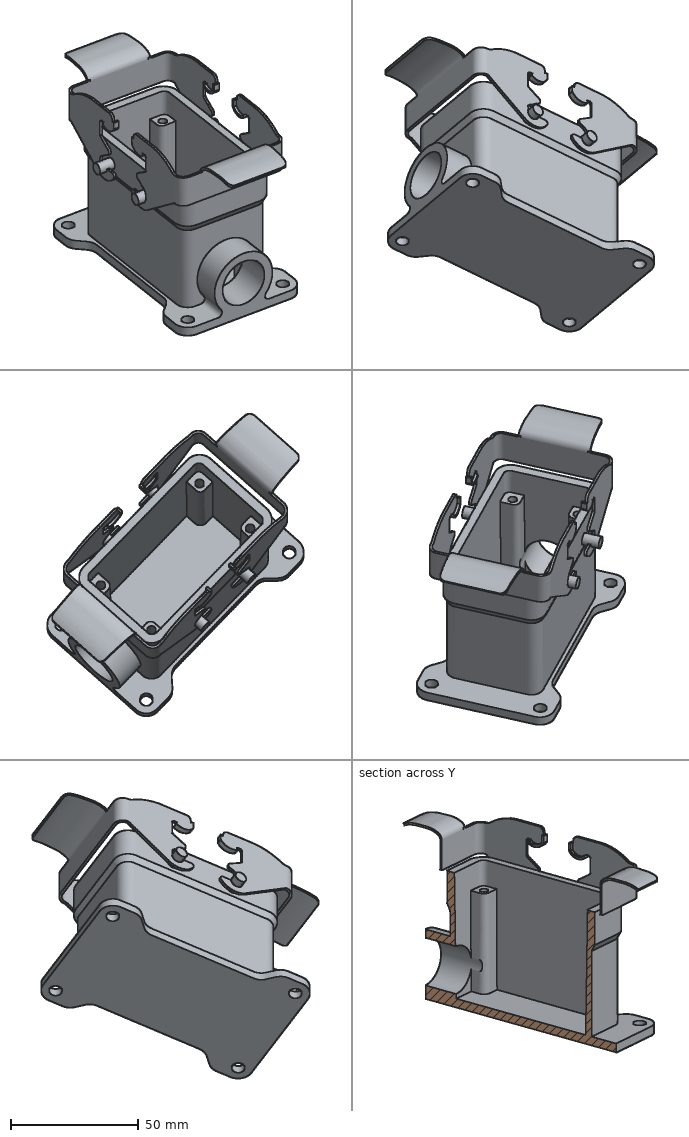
import cadquery as cq
import math

total_height = 74.5
draft = 1.0

plate_half_x = 47.1
plate_half_y = 57.0 / 2
plate_height = 4.0
plate_radius = 6.0
ear_straight_end = 34.8
ear_inner_x = 23.1
waist_half_y = 21.6
mount_hole_x = plate_half_x - 5.8
mount_hole_y = plate_half_y - 5.8
mount_hole_radius = 2.5

box_half_x = 35.0
box_half_y = 20.0
box_radius = 5.0
collar_step = 1.5
collar_half_x = box_half_x + collar_step
collar_half_y = box_half_y + collar_step
collar_radius = box_radius + collar_step
taper_bottom = 40.1
collar_bottom = 43.0
collar_top = 57.0

cavity_half_x = 32.7
cavity_half_y = 18.0
cavity_radius = 2.5
post_inner_x = 25.5
post_inner_y = 10.2
post_radius = 2.3
post_top = 46.2
post_hole_x = 28.5
post_hole_y = 13.6
post_hole_radius = 1.7
post_hole_depth = 13.9

entry_top = 29.7
entry_radius = 13.8
entry_z = entry_top - entry_radius
entry_bore_radius = 10.0
entry_foot_radius = 2.0

sheet = 1.0
lever_end_x = 40.0
lever_half_y = 25.2
lever_bend_radius = 4.2
strap_bottom = 56.4
strap_top = 69.5
pin_x = 13.3
pin_z = 47.5
pin_radius = 2.4
lip_depth = 2.3
nose_start = (-6.1, 71.6)
nose_side = (-6.1, 68.7)
nose_bottom = (-9.9, 65.9)
nose_heel = (-13.9, 66.9)
nose_end = (-13.6, 68.0)
handle_tip_x = 58.0
handle_flat_outer_x = 50.5
handle_flat_inner_x = 45.9
handle_top = 73.3
handle_root_half_y = 15.0
handle_tip_half_y = 13.8
handle_corner_radius = 2.8
handle_root_fillet = 0.6


def rounded_block(half_x, half_y, radius, bottom, top):
    block = cq.Workplane("XY").box(2 * half_x, 2 * half_y, top - bottom, centered=(True, True, False))
    return block.edges("|Z").fillet(radius).translate((0, 0, bottom))


def make_plate():
    """Plate with four ears; each ear runs into the narrower waist by two 45 degree arcs and a slope."""
    blend_x = plate_radius * math.sin(math.radians(45))
    blend_y = plate_radius - blend_x
    half_blend_x = plate_radius * math.sin(math.radians(22.5))
    half_blend_y = plate_radius * (1 - math.cos(math.radians(22.5)))
    notch = (
        cq.Workplane("XY")
        .moveTo(-ear_straight_end, plate_half_y)
        .threePointArc(
            (-ear_straight_end + half_blend_x, plate_half_y - half_blend_y),
            (-ear_straight_end + blend_x, plate_half_y - blend_y),
        )
        .lineTo(-ear_inner_x - blend_x, waist_half_y + blend_y)
        .threePointArc(
            (-ear_inner_x - half_blend_x, waist_half_y + half_blend_y),
            (-ear_inner_x, waist_half_y),
        )
        .lineTo(0, waist_half_y)
        .lineTo(0, plate_half_y)
        .close()
        .extrude(plate_height)
    )
    notch = notch.union(notch.mirror("YZ"))
    plate = rounded_block(plate_half_x, plate_half_y, plate_radius, 0, plate_height)
    plate = plate.cut(notch).cut(notch.mirror("XZ"))
    holes = (
        cq.Workplane("XY")
        .rect(2 * mount_hole_x, 2 * mount_hole_y, forConstruction=True)
        .vertices()
        .circle(mount_hole_radius)
        .extrude(plate_height)
    )
    return plate.cut(holes)


def make_shell():
    """Outer box with the collar on top and a sloped step between them."""
    box = rounded_block(box_half_x, box_half_y, box_radius, 0, collar_top)
    collar = rounded_block(collar_half_x, collar_half_y, collar_radius, taper_bottom, collar_top)
    collar = collar.faces("<Z").chamfer(collar_bottom - taper_bottom, collar_step)
    return box.union(collar)


def make_cavity():
    """Drafted pocket, less the four drilled posts that stay in its corners."""
    cavity = (
        cq.Workplane("XY", origin=(0, 0, collar_top))
        .sketch()
        .rect(2 * cavity_half_x, 2 * cavity_half_y)
        .vertices()
        .fillet(cavity_radius)
        .finalize()
        .extrude(plate_height - collar_top, taper=draft)
    )
    post_size_x = 2 * (collar_half_x - post_inner_x)
    post_size_y = 2 * (collar_half_y - post_inner_y)
    post_height = post_top - plate_height
    for side_x in (-1, 1):
        for side_y in (-1, 1):
            post = (
                cq.Workplane("XY", origin=(side_x * collar_half_x, side_y * collar_half_y, post_top))
                .sketch()
                .rect(post_size_x, post_size_y)
                .vertices()
                .fillet(post_radius)
                .finalize()
                .extrude(-post_height, taper=-draft)
            )
            hole = (
                cq.Workplane("XY", origin=(side_x * post_hole_x, side_y * post_hole_y, post_top))
                .circle(post_hole_radius)
                .extrude(-post_hole_depth)
            )
            cavity = cavity.cut(post).union(hole)
    return cavity


def entry_cylinder(radius, start_x):
    return (
        cq.Workplane("YZ", origin=(start_x, 0, entry_z))
        .circle(radius)
        .extrude(plate_half_x - start_x)
    )


def make_entry():
    """Round boss standing on the plate, with concave fillets along its foot."""
    foot_z = plate_height + entry_foot_radius
    foot_drop = entry_z - foot_z
    foot_y = math.sqrt((entry_radius + entry_foot_radius) ** 2 - foot_drop**2)
    boss = entry_cylinder(entry_radius, 0)
    foot = (
        cq.Workplane("YZ")
        .moveTo(-foot_y, 0)
        .lineTo(foot_y, 0)
        .lineTo(foot_y, foot_z)
        .lineTo(0, entry_z)
        .lineTo(-foot_y, foot_z)
        .close()
        .extrude(plate_half_x)
    )
    grooves = (
        cq.Workplane("YZ")
        .pushPoints([(-foot_y, foot_z), (foot_y, foot_z)])
        .circle(entry_foot_radius)
        .extrude(plate_half_x)
    )
    below_plate = cq.Workplane("XY").box(4 * plate_half_x, 4 * plate_half_y, entry_radius)
    below_plate = below_plate.translate((0, 0, -entry_radius / 2))
    return boss.union(foot.cut(grooves)).cut(below_plate)


def lever_side_outline():
    """Strap and hook outline in XZ, including the seat that clasps the pin."""
    slot_x = -pin_x - pin_radius
    return (
        cq.Workplane("XZ")
        .moveTo(-lever_end_x, strap_bottom)
        .lineTo(-lever_end_x, strap_top)
        .lineTo(-36.0, strap_top)
        .threePointArc((-35.0, 69.6), (-34.1, 70.0))
        .threePointArc((-28.8, 72.8), (-21.6, total_height))
        .lineTo(-9.2, total_height)
        .threePointArc((-7.9, 73.8), (-7.4, 72.6))
        .lineTo(nose_start[0] - sheet, nose_start[1])
        .lineTo(*nose_start)
        .lineTo(*nose_side)
        .threePointArc(nose_bottom, nose_heel)
        .lineTo(*nose_end)
        .lineTo(slot_x + 0.7, nose_end[1])
        .lineTo(slot_x, 67.3)
        .lineTo(slot_x, 60.7)
        .lineTo(slot_x + 0.6, 60.0)
        .lineTo(-10.7, 57.1)
        .threePointArc((-9.6, 55.7), (-10.3, 54.3))
        .lineTo(-11.8, 53.6)
        .lineTo(-13.8, 52.0)
        .threePointArc((-15.4, 50.9), (slot_x, 49.4))
        .lineTo(slot_x, pin_z)
        .threePointArc((-pin_x, pin_z - pin_radius), (-pin_x + pin_radius, pin_z))
        .lineTo(-7.1, pin_z)
        .threePointArc((-6.3, 46.9), (-6.3, 45.5))
        .threePointArc((-12.8, 41.9), (-16.9, 43.0))
        .lineTo(-35.6, strap_bottom)
        .close()
    )


def make_lip():
    """Curled edge that widens the hook nose towards the housing."""
    return (
        cq.Workplane("XZ", origin=(0, lever_half_y, 0))
        .moveTo(*nose_start)
        .lineTo(*nose_side)
        .threePointArc(nose_bottom, nose_heel)
        .lineTo(*nose_end)
        .threePointArc((nose_bottom[0], nose_bottom[1] + sheet), (nose_side[0] - sheet, nose_side[1]))
        .lineTo(nose_start[0] - sheet, nose_start[1])
        .close()
        .extrude(lip_depth)
    )


def make_handle():
    """Arched finger grip: the sheet profile in XZ trimmed by a tapering plan outline."""
    underside = handle_top - sheet
    root_x = -lever_end_x + sheet
    profile = (
        cq.Workplane("XZ")
        .moveTo(-handle_tip_x, 71.8)
        .threePointArc((-54.3, 73.0), (-handle_flat_outer_x, handle_top))
        .lineTo(-handle_flat_inner_x, handle_top)
        .threePointArc((-43.4, 73.0), (-41.0, 72.0))
        .threePointArc((-39.5, 71.0), (root_x, strap_top))
        .lineTo(root_x, strap_bottom)
        .lineTo(-lever_end_x, strap_bottom)
        .lineTo(-lever_end_x, strap_top)
        .threePointArc((-40.4, 70.3), (-41.4, 71.1))
        .threePointArc((-43.5, 71.9), (-handle_flat_inner_x, underside))
        .lineTo(-handle_flat_outer_x, underside)
        .threePointArc((-54.0, 71.9), (-57.5, 70.9))
        .close()
        .extrude(plate_half_y, both=True)
    )
    plan = (
        cq.Workplane("XY")
        .moveTo(root_x, -handle_root_half_y)
        .lineTo(root_x, handle_root_half_y)
        .lineTo(-handle_tip_x, handle_tip_half_y)
        .lineTo(-handle_tip_x, -handle_tip_half_y)
        .close()
        .extrude(total_height)
        .edges("|Z and <X")
        .fillet(handle_corner_radius)
    )
    return profile.intersect(plan)


def make_root_flare():
    """Small concave corner where one side of the grip meets the top of the end band."""
    outer_y = handle_root_half_y + handle_root_fillet
    peak_z = strap_top + handle_root_fillet
    arc_reach = handle_root_fillet * math.sin(math.radians(45))
    return (
        cq.Workplane("YZ", origin=(-lever_end_x, 0, 0))
        .moveTo(outer_y, strap_top)
        .threePointArc((outer_y - arc_reach, peak_z - arc_reach), (handle_root_half_y, peak_z))
        .lineTo(handle_root_half_y - sheet, peak_z)
        .lineTo(handle_root_half_y - sheet, strap_top - sheet)
        .lineTo(outer_y, strap_top - sheet)
        .close()
        .extrude(sheet)
    )


def make_lever():
    """Bent strap: two hooked side arms joined by an end band that carries the grip."""
    strap = rounded_block(lever_end_x, lever_half_y, lever_bend_radius, 0, total_height)
    inside = rounded_block(
        lever_end_x - sheet, lever_half_y - sheet, lever_bend_radius - sheet, 0, total_height
    )
    arms = lever_side_outline().extrude(plate_half_y, both=True)
    lever = arms.intersect(strap.cut(inside))
    lip = make_lip()
    flare = make_root_flare()
    lever = lever.union(make_handle()).union(flare).union(flare.mirror("XZ"))
    return lever.union(lip).union(lip.mirror("XZ"))


def make_pins():
    """Pivot studs reaching from inside the collar wall to the plate edge line."""
    wall_middle_y = (collar_half_y + cavity_half_y) / 2
    studs = (
        cq.Workplane("XZ", origin=(0, plate_half_y, 0))
        .pushPoints([(-pin_x, pin_z), (pin_x, pin_z)])
        .circle(pin_radius)
        .extrude(plate_half_y - wall_middle_y)
    )
    return studs.union(studs.mirror("XZ"))


lever = make_lever()
housing = make_plate().union(make_shell()).union(make_entry())
housing = housing.cut(make_cavity()).cut(entry_cylinder(entry_bore_radius, 0))
result = housing.union(make_pins()).union(lever).union(lever.mirror("YZ"))